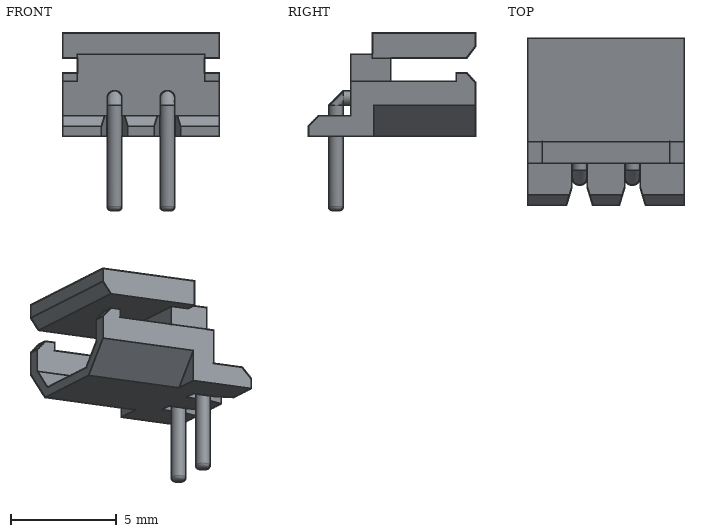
import cadquery as cq
import math

width = 7.4
depth = 7.9
height = 8.4

body_bottom = 3.51
foot_top = 4.49
side_chamfer_top = 4.98
rail_top = 6.115
lip_top = 6.51
plate_bottom = 7.21
wall_top = 7.39

wall_front = 2.0
plate_front = 3.015
side_chamfer_front = 3.08
wall_back = 3.89
lip_front = 6.97

rail_width = 0.7
floor_thickness = 0.445
foot_chamfer = 0.495
mouth_chamfer_depth = 0.42
plate_chamfer_height = 0.555
lip_chamfer_height = 0.45

pin_diameter = 0.7
pin_radius = pin_diameter / 2
pin_pitch = 2.495
pin_positions = (-pin_pitch / 2, pin_pitch / 2)
pin_axis_y = 1.3
tail_axis_z = 5.32
tip_rounding = 0.2
slot_width = 0.72
slot_mouth_width = 1.24
slot_taper_depth = 0.86


def box(x_size, y_start, y_end, z_start, z_end):
    """Block centred on X, between the given Y and Z limits."""
    return cq.Workplane("XY").box(
        x_size, y_end - y_start, z_end - z_start, centered=(True, False, False)
    ).translate((0, y_start, z_start))


def side_profile(points):
    """Full-width prism from an outline of (Y, Z) points."""
    return cq.Workplane("YZ").polyline(points).close().extrude(width / 2, both=True)


def make_lower_body():
    """Feet, side rails with locking lips, and the open channel between the rails."""
    body = side_profile([
        (0, body_bottom),
        (depth, body_bottom),
        (depth, lip_top - lip_chamfer_height),
        (depth - mouth_chamfer_depth, lip_top),
        (lip_front, lip_top),
        (lip_front, rail_top),
        (wall_front, rail_top),
        (wall_front, foot_top),
        (foot_chamfer, foot_top),
        (0, foot_top - foot_chamfer),
    ])
    floor_top = body_bottom + floor_thickness
    half_top = width / 2 - rail_width
    half_floor = half_top - (side_chamfer_top - floor_top)
    channel = cq.Workplane("XZ", origin=(0, depth, 0)).polyline([
        (-half_floor, floor_top),
        (half_floor, floor_top),
        (half_top, side_chamfer_top),
        (half_top, lip_top),
        (-half_top, lip_top),
        (-half_top, side_chamfer_top),
    ]).close().extrude(depth - wall_back)
    return body.cut(channel)


def make_side_chamfers():
    """45 degree cuts along the lower edges of both sides."""
    edge = width / 2
    size = side_chamfer_top - body_bottom
    cuts = cq.Workplane("XZ", origin=(0, depth, 0))
    for side in (-1, 1):
        cuts = cuts.polyline([
            (side * edge, side_chamfer_top),
            (side * edge, body_bottom),
            (side * (edge - size), body_bottom),
        ]).close()
    return cuts.extrude(depth - side_chamfer_front)


def make_top_plate():
    return side_profile([
        (plate_front, plate_bottom),
        (depth - mouth_chamfer_depth, plate_bottom),
        (depth, plate_bottom + plate_chamfer_height),
        (depth, height),
        (plate_front, height),
    ])


def make_foot_slot(x):
    """Clearance for one pin, widening toward the front of the feet."""
    half = slot_width / 2
    half_mouth = slot_mouth_width / 2
    return cq.Workplane("XY", origin=(x, 0, body_bottom)).polyline([
        (-half_mouth, 0),
        (half_mouth, 0),
        (half, slot_taper_depth),
        (half, wall_front),
        (-half, wall_front),
        (-half, slot_taper_depth),
    ]).close().extrude(foot_top - body_bottom)


def make_pin(x):
    """Bent pin: a tail out of the wall, a slanted elbow and a vertical leg."""
    elbow_back = pin_axis_y + pin_radius
    elbow_bottom = tail_axis_z - pin_radius
    leg = (
        cq.Workplane("XY", origin=(x, pin_axis_y, 0))
        .circle(pin_radius)
        .extrude(elbow_bottom)
        .faces("<Z").edges().fillet(tip_rounding)
    )
    tail = (
        cq.Workplane("XZ", origin=(x, wall_back, tail_axis_z))
        .circle(pin_radius)
        .extrude(wall_back - elbow_back)
    )
    elbow_plane = cq.Plane(
        origin=(x, elbow_back + pin_diameter, tail_axis_z + pin_diameter),
        xDir=(-1, 0, 0),
        normal=(0, -1, -1),
    )
    elbow = (
        cq.Workplane(elbow_plane)
        .ellipse(pin_radius, pin_radius / math.sqrt(2))
        .extrude(4 * pin_diameter)
    )
    elbow_limits = box(
        pin_diameter * 2,
        elbow_back - pin_diameter,
        elbow_back,
        elbow_bottom,
        elbow_bottom + pin_diameter,
    ).translate((x, 0, 0))
    return leg.union(elbow.intersect(elbow_limits)).union(tail)


front_wall = box(width - 2 * rail_width, wall_front, wall_back, rail_top, wall_top)
result = make_lower_body().cut(make_side_chamfers()).union(front_wall).union(make_top_plate())
for pin_x in pin_positions:
    result = result.cut(make_foot_slot(pin_x))
for pin_x in pin_positions:
    result = result.union(make_pin(pin_x))